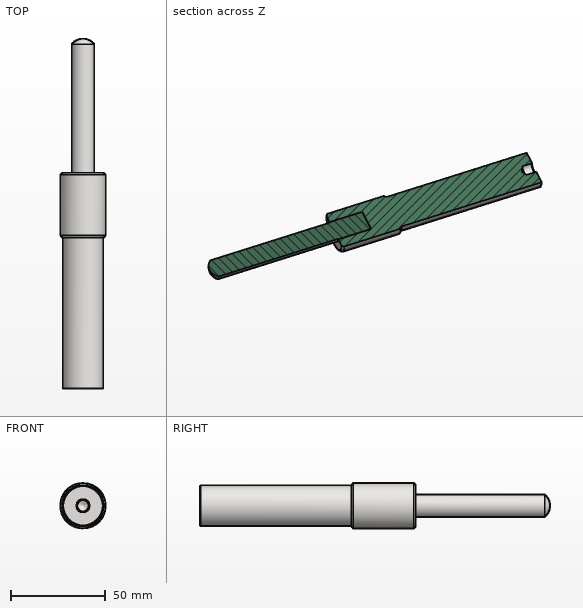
import cadquery as cq

total_length = 185.0
handle_end_y = -total_length / 2
tip_y = total_length / 2

grip_diameter = 21.6
grip_length = 79.9
grip_end_chamfer = 0.46
collar_diameter = 24.0
collar_length = 34.2
collar_chamfer = 1.1
end_hole_diameter = 6.0
end_hole_chamfer = 0.5
end_hole_depth = 5.5
end_hole_cone_depth = 1.7

pin_diameter = 12.0
socket_depth = 18.5
tip_dome_height = 3.0
tip_dome_radius = ((pin_diameter / 2) ** 2 + tip_dome_height**2) / (2 * tip_dome_height)

end_hole_floor_y = handle_end_y + end_hole_depth
collar_start_y = handle_end_y + grip_length
collar_end_y = collar_start_y + collar_length
socket_floor_y = collar_end_y - socket_depth
dome_start_y = tip_y - tip_dome_height


def revolve_about_y(profile):
    """Turn a closed half profile, drawn as (radius, y), about the Y axis."""
    return profile.close().revolve(360, (0, 0, 0), (0, 1, 0))


def make_handle():
    """Grip and chamfered collar, with a cone-bottomed end hole and a socket for the pin."""
    profile = (
        cq.Workplane("XY")
        .moveTo(0, end_hole_floor_y + end_hole_cone_depth)
        .lineTo(end_hole_diameter / 2, end_hole_floor_y)
        .lineTo(end_hole_diameter / 2, handle_end_y + end_hole_chamfer)
        .lineTo(end_hole_diameter / 2 + end_hole_chamfer, handle_end_y)
        .lineTo(grip_diameter / 2 - grip_end_chamfer, handle_end_y)
        .lineTo(grip_diameter / 2, handle_end_y + grip_end_chamfer)
        .lineTo(grip_diameter / 2, collar_start_y)
        .lineTo(collar_diameter / 2 - collar_chamfer, collar_start_y)
        .lineTo(collar_diameter / 2, collar_start_y + collar_chamfer)
        .lineTo(collar_diameter / 2, collar_end_y - collar_chamfer)
        .lineTo(collar_diameter / 2 - collar_chamfer, collar_end_y)
        .lineTo(pin_diameter / 2, collar_end_y)
        .lineTo(pin_diameter / 2, socket_floor_y)
        .lineTo(0, socket_floor_y)
    )
    return revolve_about_y(profile)


def make_pin():
    """Round pin seated on the socket floor, with a domed tip."""
    profile = (
        cq.Workplane("XY")
        .moveTo(0, socket_floor_y)
        .lineTo(pin_diameter / 2, socket_floor_y)
        .lineTo(pin_diameter / 2, dome_start_y)
        .radiusArc((0, tip_y), -tip_dome_radius)
    )
    return revolve_about_y(profile)


handle = make_handle()
pin = make_pin()
result = cq.Compound.makeCompound([handle.val(), pin.val()])